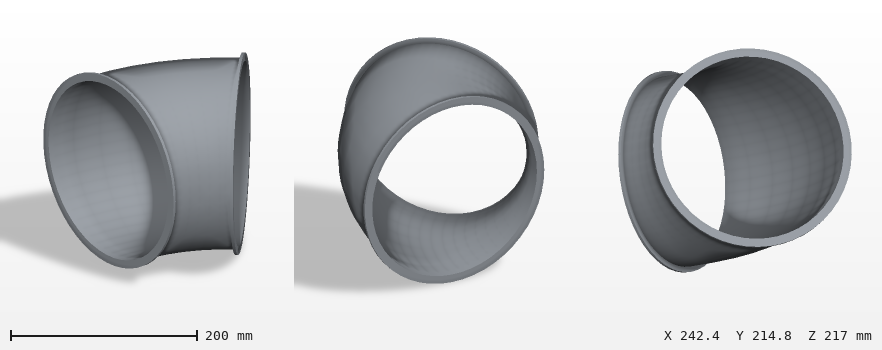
import cadquery as cq
import math

bend_angle = 45.0
bend_radius = 195.3
flange_diameter = 217.0
flange_thickness = 3.2
pipe_diameter = 205.3
bore_diameter = 199.0


def bent_bar(diameter):
    """Solid round bar following the elbow from one end face to the other."""
    return (
        cq.Workplane("XZ")
        .circle(diameter / 2)
        .revolve(bend_angle, (bend_radius, 0, 0), (bend_radius, -1, 0))
    )


def inlet_disc():
    """Disc behind the inlet face, which lies in the XZ plane."""
    return cq.Workplane("XZ").circle(flange_diameter / 2).extrude(-flange_thickness)


def outlet_disc():
    """Disc behind the outlet face, square to the pipe axis at the far end of the bend."""
    angle = math.radians(bend_angle)
    center = (bend_radius * (1 - math.cos(angle)), bend_radius * math.sin(angle), 0)
    outward = (math.sin(angle), math.cos(angle), 0)
    face = cq.Plane(origin=center, xDir=(0, 0, 1), normal=outward)
    return cq.Workplane(face).circle(flange_diameter / 2).extrude(-flange_thickness)


body = bent_bar(pipe_diameter).union(inlet_disc()).union(outlet_disc())
result = body.cut(bent_bar(bore_diameter))